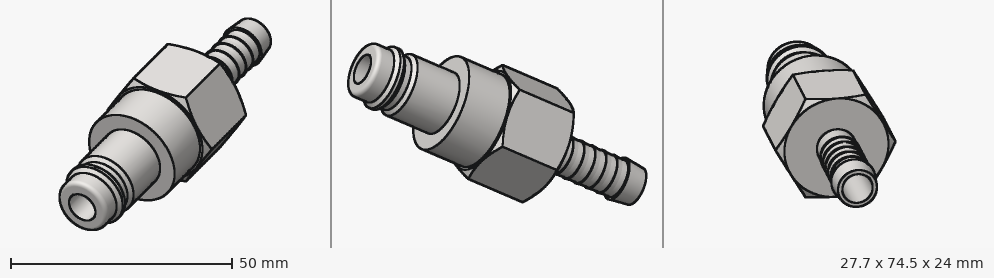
import cadquery as cq
import math

TOTAL_LENGTH = 74.5
BORE_DIAMETER = 7.0

HOSE_DIAMETER = 9.0
BARB_DIAMETER = 10.2
BARB_LENGTH = 5.0
RIDGE_DIAMETER = 9.4
RIDGE_COUNT = 5
RIDGE_PITCH = 3.0
RIDGE_TAPER_LENGTH = RIDGE_PITCH / 2
HOSE_LENGTH = 25.0

HEX_ACROSS_FLATS = 24.0
HEX_LENGTH = 17.0
HEX_CHAMFER_ANGLE = 30.0
HEX_END_DIAMETER = HEX_ACROSS_FLATS
COLLAR_DIAMETER = 22.7
COLLAR_LENGTH = 11.0

PLUG_DIAMETER = 15.0
NOSE_DIAMETER = 13.0
SHOULDER_LENGTH = 12.5
BEVEL = (PLUG_DIAMETER - NOSE_DIAMETER) / 2
GROOVE_WIDTH = 1.7
RING_LAND = 1.0
NOSE_ROUNDING = 1.0

HEX_END = HOSE_LENGTH + HEX_LENGTH
COLLAR_END = HEX_END + COLLAR_LENGTH


def revolve_profile(points):
    """Revolve a (radius, station) outline around the Y axis."""
    outline = [(radius, -station) for radius, station in points]
    return cq.Workplane("XY").polyline(outline).close().revolve(360, (0, 0, 0), (0, 1, 0))


def cylinder(diameter, start, end):
    """Cylinder around the Y axis between two stations."""
    radius = diameter / 2
    return revolve_profile([(0, start), (radius, start), (radius, end), (0, end)])


def make_hose_tail():
    """End barb, then shallow ridges that taper up to a step, then a plain neck."""
    hose_radius = HOSE_DIAMETER / 2
    points = [
        (0, 0),
        (hose_radius, 0),
        (BARB_DIAMETER / 2, BARB_LENGTH),
        (hose_radius, BARB_LENGTH),
    ]
    for ridge in range(1, RIDGE_COUNT + 1):
        crest = BARB_LENGTH + ridge * RIDGE_PITCH
        points.append((hose_radius, crest - RIDGE_TAPER_LENGTH))
        points.append((RIDGE_DIAMETER / 2, crest))
        points.append((hose_radius, crest))
    points.append((hose_radius, HOSE_LENGTH))
    points.append((0, HOSE_LENGTH))
    return revolve_profile(points)


def make_hexagon():
    """Hexagon with corners on +X and -X, both ends turned to a cone."""
    across_corners = HEX_ACROSS_FLATS / math.cos(math.pi / 6)
    prism = (
        cq.Workplane("XZ", origin=(0, -HOSE_LENGTH, 0))
        .polygon(6, across_corners)
        .extrude(HEX_LENGTH)
    )
    end_radius = HEX_END_DIAMETER / 2
    corner_radius = across_corners / 2
    drop = (corner_radius - end_radius) * math.tan(math.radians(HEX_CHAMFER_ANGLE))
    envelope = revolve_profile([
        (0, HOSE_LENGTH),
        (end_radius, HOSE_LENGTH),
        (corner_radius, HOSE_LENGTH + drop),
        (corner_radius, HEX_END - drop),
        (end_radius, HEX_END),
        (0, HEX_END),
    ])
    return prism.intersect(envelope)


def make_plug():
    """Bevelled shoulder, groove, bevelled ring and rounded nose."""
    plug_radius = PLUG_DIAMETER / 2
    nose_radius = NOSE_DIAMETER / 2
    shoulder_end = COLLAR_END + SHOULDER_LENGTH
    ring_start = shoulder_end + GROOVE_WIDTH
    land_start = ring_start + BEVEL
    land_end = land_start + RING_LAND
    plug = revolve_profile([
        (0, COLLAR_END),
        (plug_radius, COLLAR_END),
        (plug_radius, shoulder_end - BEVEL),
        (nose_radius, shoulder_end),
        (nose_radius, ring_start),
        (plug_radius, land_start),
        (plug_radius, land_end),
        (nose_radius, land_end + BEVEL),
        (nose_radius, TOTAL_LENGTH),
        (0, TOTAL_LENGTH),
    ])
    return plug.faces("<Y").edges().fillet(NOSE_ROUNDING)


body = make_hose_tail().union(make_hexagon())
body = body.union(cylinder(COLLAR_DIAMETER, HEX_END, COLLAR_END))
body = body.union(make_plug())
body = body.cut(cylinder(BORE_DIAMETER, 0, TOTAL_LENGTH))

result = body.translate((0, TOTAL_LENGTH / 2, 0))